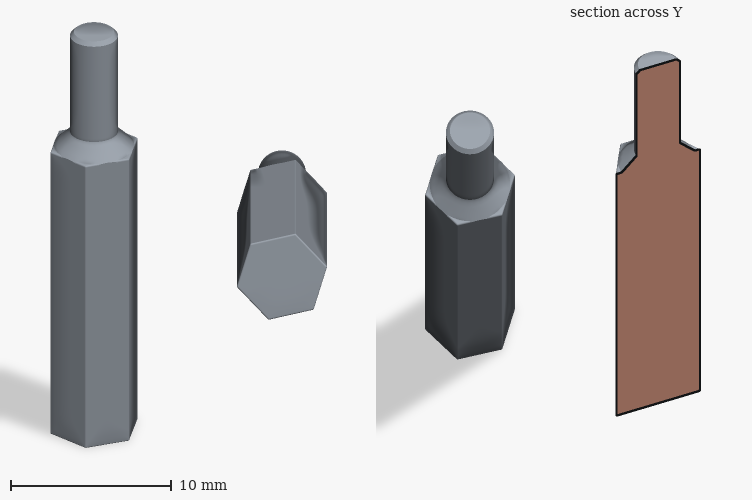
import cadquery as cq
import math

across_flats = 5.0
across_corners = across_flats / math.cos(math.pi / 6)
body_height = 20.0
edge_radius = 0.1

overall_height = 28.0
stud_radius = 1.5
stud_chamfer = 0.25
shoulder_radius = across_flats / 2
shoulder_height = shoulder_radius - stud_radius


def make_column(height):
    """Hexagonal prism on Z with flats facing +Y and -Y and rounded upright corners."""
    prism = cq.Workplane("XY").polygon(6, across_corners).extrude(height)
    return prism.edges("|Z").fillet(edge_radius)


def make_body():
    """Hexagonal body with both end rims rounded."""
    return make_column(body_height).faces("<Z or >Z").edges().fillet(edge_radius)


def make_shoulder():
    """Cone running down past the rounded rim, trimmed to the flats of the hexagon."""
    cone = cq.Solid.makeCone(
        shoulder_radius + edge_radius,
        stud_radius,
        shoulder_height + edge_radius,
        pnt=cq.Vector(0, 0, body_height - edge_radius),
    )
    return make_column(body_height + shoulder_height).intersect(cq.Workplane(cone))


def make_stud():
    """Round stud with a chamfered tip, rising through the shoulder."""
    stud = cq.Workplane("XY").workplane(offset=body_height).circle(stud_radius)
    stud = stud.extrude(overall_height - body_height)
    return stud.faces(">Z").edges().chamfer(stud_chamfer)


result = make_body().union(make_shoulder()).union(make_stud())